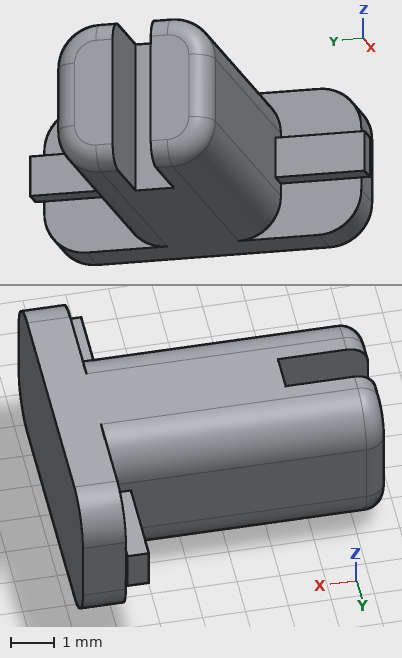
import cadquery as cq

length = 7.5
height = 3.5
bar_span = 7.9

plate_thickness = 1.0
plate_width = 7.5
corner_radius = 1.0

stem_width = 3.7
tip_fillet = 0.5

slot_width = 0.9
slot_depth = 2.1

bar_thickness = 0.5
bar_height = 0.95
bar_center_z = 0.02

plate_face_x = length - plate_thickness


def rounded_block(x_start, x_length, width):
    """Full-height block along X with its four long edges rounded."""
    block = cq.Workplane("YZ").rect(width, height).extrude(x_length)
    return block.edges("|X").fillet(corner_radius).translate((x_start, 0, 0))


def make_stem():
    stem = rounded_block(0, plate_face_x, stem_width).faces("<X").edges().fillet(tip_fillet)
    slot = cq.Workplane("XY").box(slot_depth, slot_width, height, centered=(False, True, True))
    return stem.cut(slot)


def make_cross_bar():
    bar = cq.Workplane("XY").box(bar_thickness, bar_span, bar_height, centered=(False, True, True))
    return bar.translate((plate_face_x - bar_thickness, 0, bar_center_z))


plate = rounded_block(plate_face_x, plate_thickness, plate_width)
result = plate.union(make_stem()).union(make_cross_bar())